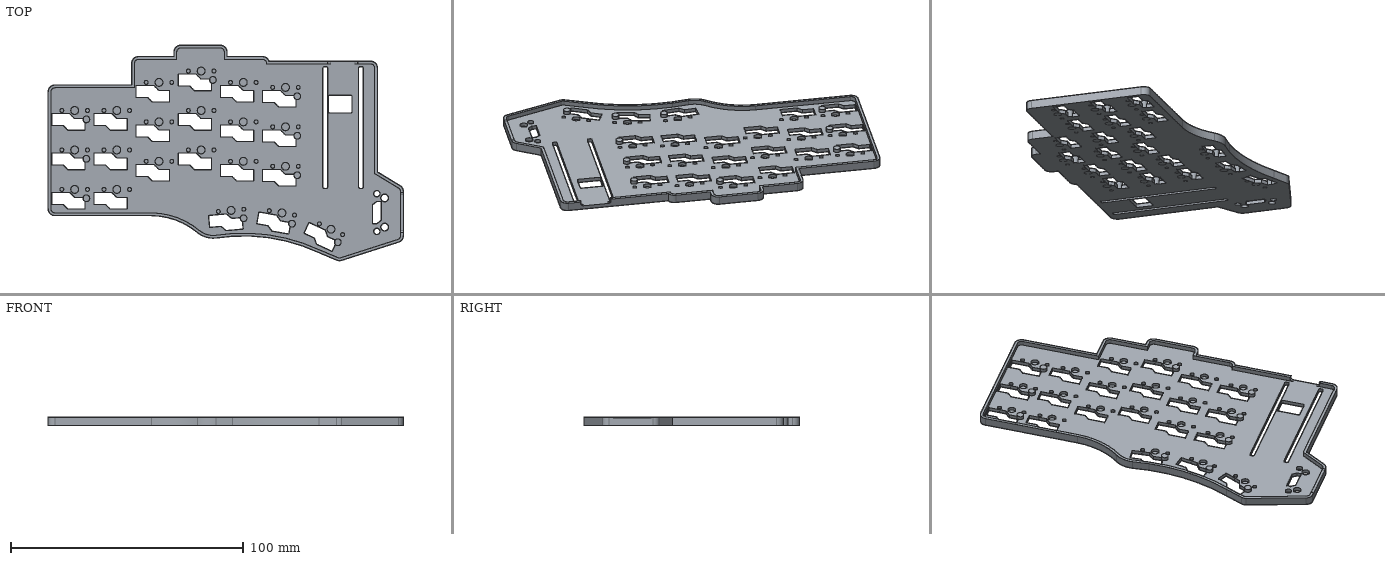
import cadquery as cq
import math

HEIGHT = 3.7
FLOOR = 1.7
RIM = 1.2
CORNER_RADIUS = 3.0

LENGTH = 153.0
WIDTH = 92.8
LOWER_EDGE_Y = 19.4
OUTER_COLUMNS_Y = 75.7
INNER_COLUMNS_Y = 88.0
CONTROLLER_Y = 86.0
STEP_X = 36.0
TAB_LEFT_X = 54.1
TAB_RIGHT_X = 77.1
CONTROLLER_STEP_X = 92.2
CONTROLLER_RIGHT_X = 141.8
CONTROLLER_BOTTOM_Y = 38.2
JACK_TOP_Y = 31.5
JACK_BOTTOM_Y = 8.7
APEX = (125.3, -0.2)

PALM_START_X = 44.5
PALM_END = (64.4, 12.1)
PALM_RADIUS = 31.2
VALLEY_END = (72.2, 9.8)
CREST_START = (79.4, 10.5)
CREST_END = (116.5, 3.5)
CREST_RADIUS = 76.5

ROW_PITCH = 17.0
FIRST_COLUMN_X = 11.5
LAST_COLUMN_X = 102.2
BOTTOM_ROW_Y = [30.7, 30.7, 42.8, 47.7, 42.8, 40.7]
ROWS = 3
PINNED_COLUMNS = (0, 5)
TAB_COLUMN = 3
THUMB_KEYS = [(78.8, 21.7, 5), (100.6, 20.6, -10), (121.7, 13.6, -25)]

KEY_HOLE_DIAMETER = 3.4
SIDE_HOLE_DIAMETER = 1.7
SIDE_HOLE_OFFSET = 5.5
KEY_HOLE_DEPTH = 1.4
PIN_DIAMETER = 2.9
PIN_HEIGHT = 3.2
PIN_OFFSET = (5.0, -3.8)
SOCKET_LEFT = -9.8
SOCKET_RIGHT = 4.5
SOCKET_TOP = -1.4
SOCKET_UPPER_STEP = 2.1
SOCKET_LOWER_LEFT = -6.4
SOCKET_LOWER_STEP = 2.0
SOCKET_LOWER_SLANT_X = -4.9

SLOT_WIDTH = 2.0
SLOT_LENGTH = 52.3
SLOT_CENTRE_Y = 57.4
SLOT_CENTRES_X = (119.3, 134.6)
SLOT_CORNER_RADIUS = 0.6
WINDOW_SIZE = (10.1, 7.5)
WINDOW_CENTRE = (125.7, 67.5)
WINDOW_CORNER_RADIUS = 0.5
CABLE_OPENING_LENGTH = 13.3
CABLE_OPENING_DIAMETER = 2.6
CABLE_OPENING_X = 126.8

JACK_CENTRE = (141.5, 20.8)
JACK_HOLES = [(0, 8.1, 2.6), (3.4, 6.3, 3.2)]
JACK_HALF_WIDTH = 1.8
JACK_HALF_LENGTH = 4.7
JACK_SLANT = (1.8, 1.4)
JACK_DIP_DEPTH = 0.3
JACK_DIP_LENGTH = 18.2
JACK_DIP_DIAMETER = 2.8


def outline():
    """Outer edge of the plate as a closed wire, before its corners are rounded."""
    drop = INNER_COLUMNS_Y - CONTROLLER_Y
    drop_run = math.sqrt(CORNER_RADIUS**2 - (CORNER_RADIUS - drop) ** 2)
    return (
        cq.Workplane("XY")
        .moveTo(0, LOWER_EDGE_Y)
        .lineTo(0, OUTER_COLUMNS_Y)
        .lineTo(STEP_X, OUTER_COLUMNS_Y)
        .lineTo(STEP_X, INNER_COLUMNS_Y)
        .lineTo(TAB_LEFT_X, INNER_COLUMNS_Y)
        .lineTo(TAB_LEFT_X, WIDTH)
        .lineTo(TAB_RIGHT_X, WIDTH)
        .lineTo(TAB_RIGHT_X, INNER_COLUMNS_Y)
        .lineTo(CONTROLLER_STEP_X, INNER_COLUMNS_Y)
        .radiusArc((CONTROLLER_STEP_X + drop_run, CONTROLLER_Y), CORNER_RADIUS)
        .lineTo(CONTROLLER_RIGHT_X, CONTROLLER_Y)
        .lineTo(CONTROLLER_RIGHT_X, CONTROLLER_BOTTOM_Y)
        .lineTo(LENGTH, JACK_TOP_Y)
        .lineTo(LENGTH, JACK_BOTTOM_Y)
        .lineTo(*APEX)
        .lineTo(*CREST_END)
        .radiusArc(CREST_START, -CREST_RADIUS)
        .lineTo(*VALLEY_END)
        .tangentArcPoint(PALM_END, relative=False)
        .radiusArc((PALM_START_X, LOWER_EDGE_Y), -PALM_RADIUS)
        .close()
    )


ROUNDED_CORNERS = [
    (0, LOWER_EDGE_Y),
    (0, OUTER_COLUMNS_Y),
    (STEP_X, INNER_COLUMNS_Y),
    (TAB_LEFT_X, WIDTH),
    (TAB_RIGHT_X, WIDTH),
    (CONTROLLER_RIGHT_X, CONTROLLER_Y),
    (LENGTH, JACK_TOP_Y),
    (LENGTH, JACK_BOTTOM_Y),
    APEX,
]


def tray():
    """Plate with a raised rim all around."""
    body = outline().extrude(HEIGHT)
    for x, y in ROUNDED_CORNERS:
        corner = cq.selectors.NearestToPointSelector((x, y, HEIGHT / 2))
        body = body.edges("|Z").edges(corner).fillet(CORNER_RADIUS)
    edge = body.faces("<Z").wires().toPending()
    recess = edge.offset2D(-RIM, "tangent").extrude(HEIGHT, combine=False)
    return body.cut(recess.translate((0, 0, FLOOR)))


def key_positions():
    """Centre, rotation and pin presence of every key."""
    pitch = (LAST_COLUMN_X - FIRST_COLUMN_X) / (len(BOTTOM_ROW_Y) - 1)
    keys = []
    for column, bottom_y in enumerate(BOTTOM_ROW_Y):
        for row in range(ROWS):
            in_tab = column == TAB_COLUMN and row == ROWS - 1
            pinned = column in PINNED_COLUMNS or in_tab
            x = FIRST_COLUMN_X + column * pitch
            keys.append((x, bottom_y + row * ROW_PITCH, 0, pinned))
    for x, y, angle in THUMB_KEYS:
        keys.append((x, y, angle, True))
    return keys


def key_cut():
    """Socket opening through the floor and three blind holes, for a key at the origin."""
    socket = (
        cq.Workplane("XY")
        .moveTo(SOCKET_LEFT, SOCKET_TOP)
        .lineTo(-SOCKET_UPPER_STEP, SOCKET_TOP)
        .lineTo(0, SOCKET_TOP - SOCKET_UPPER_STEP)
        .lineTo(SOCKET_RIGHT, SOCKET_TOP - SOCKET_UPPER_STEP)
        .lineTo(SOCKET_RIGHT, SOCKET_LOWER_LEFT - SOCKET_LOWER_STEP)
        .lineTo(SOCKET_LOWER_SLANT_X + SOCKET_LOWER_STEP, SOCKET_LOWER_LEFT - SOCKET_LOWER_STEP)
        .lineTo(SOCKET_LOWER_SLANT_X, SOCKET_LOWER_LEFT)
        .lineTo(SOCKET_LEFT, SOCKET_LOWER_LEFT)
        .close()
        .extrude(FLOOR)
    )
    holes = (
        cq.Workplane("XY", origin=(0, 0, FLOOR - KEY_HOLE_DEPTH))
        .circle(KEY_HOLE_DIAMETER / 2)
        .pushPoints([(-SIDE_HOLE_OFFSET, 0), (SIDE_HOLE_OFFSET, 0)])
        .circle(SIDE_HOLE_DIAMETER / 2)
        .extrude(KEY_HOLE_DEPTH)
    )
    return socket.union(holes)


def place(shape, x, y, angle):
    """Turn a shape about the origin and move it to a key centre."""
    return shape.rotate((0, 0, 0), (0, 0, 1), angle).translate((x, y, 0))


def controller_cut():
    """Two long slots, a window and the cable opening in the rim."""
    slots = (
        cq.Workplane("XY")
        .pushPoints([(x, SLOT_CENTRE_Y) for x in SLOT_CENTRES_X])
        .rect(SLOT_WIDTH, SLOT_LENGTH)
        .extrude(FLOOR)
        .edges("|Z")
        .fillet(SLOT_CORNER_RADIUS)
    )
    window = (
        cq.Workplane("XY")
        .center(*WINDOW_CENTRE)
        .rect(*WINDOW_SIZE)
        .extrude(FLOOR)
        .edges("|Z")
        .fillet(WINDOW_CORNER_RADIUS)
    )
    opening_z = FLOOR + CABLE_OPENING_DIAMETER / 2
    opening = (
        cq.Workplane("XZ", origin=(CABLE_OPENING_X, CONTROLLER_Y, opening_z))
        .slot2D(CABLE_OPENING_LENGTH, CABLE_OPENING_DIAMETER)
        .extrude(RIM)
    )
    return slots.union(window).union(opening)


def jack_cut():
    """Six-sided opening, four round holes and a shallow dip in the rim beside them."""
    slant_x, slant_y = JACK_SLANT
    half_outline = [
        (-JACK_HALF_WIDTH, JACK_HALF_LENGTH - slant_y),
        (JACK_HALF_WIDTH - slant_x, JACK_HALF_LENGTH),
        (JACK_HALF_WIDTH, JACK_HALF_LENGTH),
    ]
    points = half_outline + [(-x, -y) for x, y in half_outline]
    cut = cq.Workplane("XY").polyline(points).close().extrude(FLOOR)
    for x, y, diameter in JACK_HOLES:
        holes = cq.Workplane("XY").pushPoints([(x, y), (x, -y)]).circle(diameter / 2).extrude(FLOOR)
        cut = cut.union(holes)
    cut = cut.translate((*JACK_CENTRE, 0))
    dip_z = HEIGHT - JACK_DIP_DEPTH + JACK_DIP_DIAMETER / 2
    dip = (
        cq.Workplane("YZ", origin=(LENGTH - RIM, JACK_CENTRE[1], dip_z))
        .slot2D(JACK_DIP_LENGTH, JACK_DIP_DIAMETER)
        .extrude(RIM)
    )
    return cut.union(dip)


result = tray().cut(controller_cut()).cut(jack_cut())
key = key_cut()
pin = cq.Workplane("XY").center(*PIN_OFFSET).circle(PIN_DIAMETER / 2).extrude(PIN_HEIGHT)
for key_x, key_y, key_angle, has_pin in key_positions():
    result = result.cut(place(key, key_x, key_y, key_angle))
    if has_pin:
        result = result.union(place(pin, key_x, key_y, key_angle))